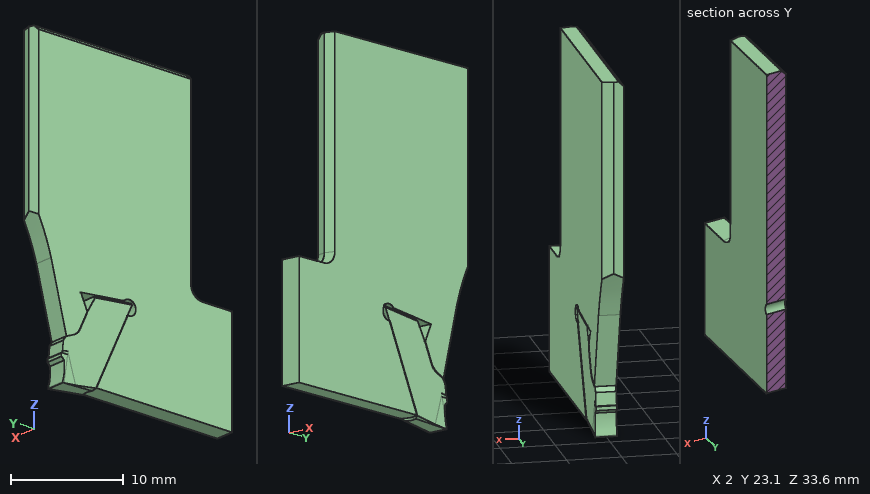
import cadquery as cq
import math


blade_thickness = 2.0
half_thickness = blade_thickness / 2
blade_height = 33.1
back_y = 23.07
neck_width = 18.5
neck_front_y = back_y - neck_width
foot_height = 11.6
foot_length = neck_front_y + neck_width / 2
neck_fillet = 1.33
top_chamfer = 0.5
vee_angle = 15.0
vee_depth = half_thickness * math.tan(math.radians(vee_angle))

flank_start = (back_y, 15.4)
flank_arc_middle = (22.23, 13.64)
flank_arc_end = (21.34, 11.13)
jaw_nose = (19.53, 4.04)

seat_angle = 65.0
seat_slope = math.tan(math.radians(seat_angle))
seat_foot_y = 15.99

stop_angle = 6.0
stop_slope = math.tan(math.radians(stop_angle))
slot_corner = (17.83, 8.69)
jaw_tip = (17.05, 6.99)
jaw_corner_z = 4.63
jaw_blend_radius = 1.5
relief_center = (12.13, 8.73)
relief_radius = 0.78

insert_half_width = 0.94
insert_shoulder_angle = 60.0
insert_heel_z = -0.22
cutting_corner = (19.95, -0.54)
stop_bevel = 0.22
bevel_height = 0.2
bevel_width = 0.3
seat_groove_radius = 1.0

face_top = (19.84, 3.58)
land_crest = (20.07, 2.33)
land_crest_foot = (20.07, 1.97)
land_root = (19.96, 2.36)
chip_groove_start = (19.77, 1.66)
chip_groove_middle = (19.77, 0.5)
chip_groove_end = (19.95, -0.4)

flare_corner = (19.28, 2.67)
flare_hinge_top = (19.2, 2.2)
flare_hinge_bottom = (18.415, -0.4)
flare_outer_z = 2.55
land_top = (19.37, land_crest[1])
land_bottom = (19.84, cutting_corner[1])

margin = 1.0
cutter_size = 60.0


def seat_point(z):
    """Point of the seat slope at height z."""
    return (seat_foot_y - z / seat_slope, z)


def stop_point(y):
    """Point of the pocket stop wall at y."""
    return (y, slot_corner[1] + (slot_corner[0] - y) * stop_slope)


def side_profile(half_width):
    """Sketch plane at -half_width whose local axes are Y and Z and whose normal is +X."""
    return cq.Workplane("YZ", origin=(-half_width, 0, 0))


def cutter_beyond(first, second, third, inside):
    """Large block filling the side of the plane through three points that does not hold `inside`."""
    base = cq.Vector(*first)
    along = cq.Vector(*second) - base
    normal = along.cross(cq.Vector(*third) - base)
    if normal.dot(cq.Vector(*inside) - base) > 0:
        normal = normal * -1
    plane = cq.Plane(origin=first, xDir=along.toTuple(), normal=normal.toTuple())
    return cq.Workplane(plane).rect(cutter_size, cutter_size).extrude(cutter_size)


def cut_both_sides(body, cutter):
    """Remove the cutter and its mirror image across mid-thickness."""
    return body.cut(cutter).cut(cutter.mirror("YZ"))


stop_height_at_foot = stop_point(seat_foot_y)[1]
stop_seat_corner = seat_point(stop_height_at_foot / (1 - stop_slope / seat_slope))
jaw_corner = (jaw_tip[0] + (jaw_tip[1] - jaw_corner_z) / seat_slope, jaw_corner_z)
shoulder_slope = math.tan(math.radians(insert_shoulder_angle))
shoulder_rise = stop_point(jaw_tip[0])[1] - jaw_tip[1]
shoulder_top = stop_point(jaw_tip[0] - shoulder_rise / (shoulder_slope - stop_slope))

nose_angle = math.atan2(jaw_corner[1] - jaw_nose[1], jaw_nose[0] - jaw_corner[0])
blend_turn = math.radians(seat_angle) - nose_angle
blend_setback = jaw_blend_radius * math.tan(blend_turn / 2)
blend_start = (
    jaw_corner[0] - blend_setback * math.cos(math.radians(seat_angle)),
    jaw_corner[1] + blend_setback * math.sin(math.radians(seat_angle)),
)
blend_end = (
    jaw_corner[0] + blend_setback * math.cos(nose_angle),
    jaw_corner[1] - blend_setback * math.sin(nose_angle),
)
blend_bisector = (math.radians(seat_angle) + nose_angle) / 2
blend_offset = jaw_blend_radius * (1 / math.cos(blend_turn / 2) - 1)
blend_middle = (
    jaw_corner[0] + blend_offset * math.sin(blend_bisector),
    jaw_corner[1] + blend_offset * math.cos(blend_bisector),
)


def make_seat_ridge():
    """Long vee rib with a rounded crest that rises from the seat slope into the insert."""
    slope = math.radians(seat_angle)
    flank = math.radians(vee_angle)
    ridge_height = insert_half_width * math.tan(flank)
    crest_half = seat_groove_radius * math.sin(flank)
    crest_start = ridge_height - crest_half * math.tan(flank)
    crest_top = crest_start + seat_groove_radius * (1 - math.cos(flank))
    plane = cq.Plane(
        origin=(0, *seat_point(-margin)),
        xDir=(1, 0, 0),
        normal=(0, -math.cos(slope), math.sin(slope)),
    )
    return (
        cq.Workplane(plane)
        .moveTo(-insert_half_width, 0)
        .lineTo(-crest_half, crest_start)
        .threePointArc((0, crest_top), (crest_half, crest_start))
        .lineTo(insert_half_width, 0)
        .close()
        .extrude((stop_seat_corner[1] + 2 * margin) / math.sin(slope))
    )


def make_blank():
    """Blade neck with vee-shaped narrow sides standing on a square foot."""
    neck = (
        cq.Workplane("XY")
        .polyline([
            (0, neck_front_y),
            (half_thickness, neck_front_y + vee_depth),
            (half_thickness, back_y - vee_depth),
            (0, back_y),
            (-half_thickness, back_y - vee_depth),
            (-half_thickness, neck_front_y + vee_depth),
        ])
        .close()
        .extrude(blade_height)
    )
    foot = (
        cq.Workplane("XY")
        .center(0, foot_length / 2)
        .rect(blade_thickness, foot_length)
        .extrude(foot_height)
    )
    corner_box = cq.selectors.BoxSelector(
        (-half_thickness, neck_front_y - margin, foot_height - margin / 2),
        (half_thickness, neck_front_y + margin, foot_height + margin / 2),
    )
    return neck.union(foot).edges(corner_box).edges("#Z").fillet(neck_fillet)


def make_flank_cutter():
    """Material removed beside the arc and the line of the flank."""
    return (
        side_profile(half_thickness + margin)
        .moveTo(*flank_start)
        .threePointArc(flank_arc_middle, flank_arc_end)
        .lineTo(*jaw_nose)
        .lineTo(jaw_nose[0], -margin)
        .lineTo(back_y + margin, -margin)
        .lineTo(back_y + margin, flank_start[1])
        .close()
        .extrude(blade_thickness + 2 * margin)
    )


def make_pocket_cutter(ridge):
    """Insert pocket, open at the cutting side and the underside, leaving the seat ridge."""
    pocket = (
        side_profile(half_thickness + margin)
        .moveTo(*stop_seat_corner)
        .lineTo(*slot_corner)
        .lineTo(*jaw_tip)
        .lineTo(*blend_start)
        .threePointArc(blend_middle, blend_end)
        .lineTo(*jaw_nose)
        .lineTo(back_y, jaw_nose[1])
        .lineTo(back_y, -margin)
        .lineTo(*seat_point(-margin))
        .close()
        .extrude(blade_thickness + 2 * margin)
    )
    return pocket.cut(ridge)


def make_holder(ridge):
    """Blade with its flank, insert pocket, corner relief hole and top chamfer on the -X side."""
    holder = make_blank().cut(make_flank_cutter()).cut(make_pocket_cutter(ridge))
    relief = (
        side_profile(half_thickness + margin)
        .center(*relief_center)
        .circle(relief_radius)
        .extrude(blade_thickness + 2 * margin)
    )
    chamfer = cutter_beyond(
        (-half_thickness, 0, blade_height - top_chamfer),
        (-half_thickness, back_y, blade_height - top_chamfer),
        (-half_thickness + top_chamfer, 0, blade_height),
        (0, 0, 0),
    )
    return holder.cut(relief).cut(chamfer)


def insert_prism(half_width):
    """Side outline of the insert extruded across the given width."""
    return (
        side_profile(half_width)
        .moveTo(*seat_point(insert_heel_z))
        .lineTo(*stop_seat_corner)
        .lineTo(*shoulder_top)
        .lineTo(*jaw_tip)
        .lineTo(*blend_start)
        .threePointArc(blend_middle, blend_end)
        .lineTo(*jaw_nose)
        .lineTo(*face_top)
        .lineTo(*land_root)
        .lineTo(*land_crest)
        .lineTo(*land_crest_foot)
        .lineTo(*chip_groove_start)
        .threePointArc(chip_groove_middle, chip_groove_end)
        .lineTo(*cutting_corner)
        .close()
        .extrude(2 * half_width)
    )


def hinge_y(z):
    """Y of the flare's hinge line at height z."""
    run = (flare_hinge_top[0] - flare_hinge_bottom[0]) / (flare_hinge_top[1] - flare_hinge_bottom[1])
    return flare_hinge_bottom[0] + (z - flare_hinge_bottom[1]) * run


def make_flare():
    """Cutting end widened to the full thickness, thinning to nothing at the hinge line."""
    below = cutting_corner[1] - margin
    region = (
        side_profile(half_thickness)
        .polyline([
            flare_corner,
            flare_hinge_top,
            flare_hinge_bottom,
            (flare_hinge_bottom[0], below),
            (back_y, below),
            (back_y, flare_outer_z),
            (land_root[0], flare_outer_z),
        ])
        .close()
        .extrude(blade_thickness)
    )
    flare = insert_prism(half_thickness).intersect(region)
    inside = (0, *cutting_corner)
    hinge_top = (-insert_half_width, *flare_hinge_top)
    hinge_bottom = (-insert_half_width, *flare_hinge_bottom)
    land_low = (-half_thickness, *land_bottom)
    flare = cut_both_sides(flare, cutter_beyond(hinge_top, hinge_bottom, land_low, inside))
    full_rise = half_thickness - insert_half_width
    reach_ratio = (land_top[0] - hinge_y(land_top[1])) / (land_bottom[0] - hinge_y(land_bottom[1]))
    land_high = (-insert_half_width - full_rise * reach_ratio, *land_top)
    corner = (-half_thickness, *cutting_corner)
    below_crest = (
        cq.Workplane("XY", origin=(0, land_top[0], land_crest[1]))
        .rect(cutter_size, cutter_size)
        .extrude(-cutter_size)
    )
    land = cutter_beyond(land_high, land_low, corner, inside).intersect(below_crest)
    return cut_both_sides(flare, land)


def make_insert(ridge):
    """Cutting insert with a grooved seat face, bevelled edges and a flared cutting end."""
    insert = insert_prism(insert_half_width).union(make_flare()).cut(ridge)
    inside = (0, *jaw_tip)
    start = (-insert_half_width, stop_seat_corner[0], stop_seat_corner[1] - stop_bevel)
    end = (-insert_half_width, shoulder_top[0], shoulder_top[1] - stop_bevel)
    crest = (-insert_half_width + stop_bevel, *stop_seat_corner)
    insert = cut_both_sides(insert, cutter_beyond(start, end, crest, inside))
    heel = seat_point(insert_heel_z)
    tip = (-half_thickness, *cutting_corner)
    heel_side = (-insert_half_width, heel[0], heel[1] + bevel_height)
    heel_bottom = (-insert_half_width + bevel_width, *heel)
    return cut_both_sides(insert, cutter_beyond(tip, heel_side, heel_bottom, inside))


seat_ridge = make_seat_ridge()
holder = make_holder(seat_ridge)
insert = make_insert(seat_ridge)

result = cq.Compound.makeCompound([holder.val(), insert.val()])